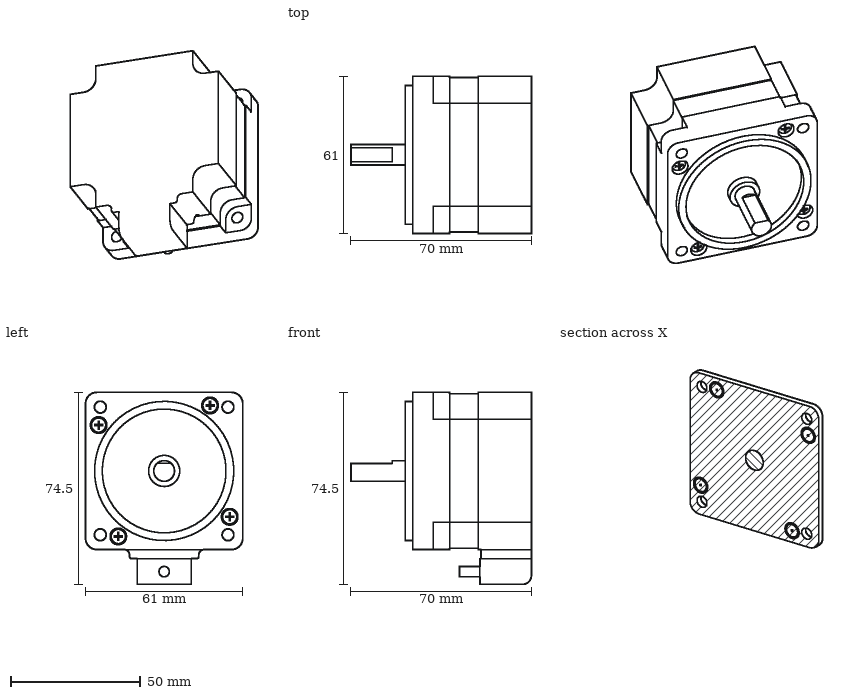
import cadquery as cq
import math


motor_width = 61.0
flange_plate_depth = 8.0
flange_end = 14.3
stator_end = 25.3
rear_end = 46.05
stator_inset = 0.5

groove_inner = 20.0
groove_fillet = 5.0

flange_corner_radius = 4.5
pilot_radius = 27.0
pilot_inner_radius = 24.0
pilot_height = 3.0
boss_radius = 6.0
mount_hole_offset = 24.7
mount_hole_diameter = 4.5

screw_count = 4
screw_circle_radius = 31.0
screw_first_angle = 35
screw_recess_radius = 3.2
screw_recess_depth = 3.0
head_radius = 2.75
head_rim_height = 1.0
head_shoulder_radius = 2.2
head_shoulder_height = 1.65
head_height = 2.3
slot_half_length = 2.0
slot_width = 0.45
slot_depth = 2.0

shaft_radius = 4.0
shaft_length = 24.0
shaft_flat_length = 16.0
shaft_flat_height = 3.0

outlet_drop = 13.5
neck_width = 27.0
neck_height = 3.5
neck_length = 19.6
neck_root_radius = 2.0
neck_edge_radius = 1.0
block_width = 21.0
block_length = 20.0
block_corner_radius = 3.5
cable_radius = 2.0
cable_length = 8.0

half_width = motor_width / 2


def yz_plane(x):
    """Sketch plane facing +X at the given X, with local axes along Y and Z."""
    return cq.Workplane("YZ", origin=(x, 0, 0))


def grooved_block(width, start, end):
    """Square block between two X positions with a filleted groove along each corner."""
    block = yz_plane(start).rect(width, width).extrude(end - start)
    groove_size = half_width
    groove_center = groove_inner + groove_size / 2
    for side_y in (-1, 1):
        for side_z in (-1, 1):
            groove = (
                yz_plane(start)
                .center(side_y * groove_center, side_z * groove_center)
                .rect(groove_size, groove_size)
                .extrude(end - start)
                .edges("|X")
                .fillet(groove_fillet)
            )
            block = block.cut(groove)
    return block


def make_screw_head():
    """Cross-slot head with a rounded shoulder and a conical top, standing on X = 0 and pointing toward -X."""
    arc_drop = head_shoulder_height - head_rim_height
    arc_run = head_radius - head_shoulder_radius
    half_diagonal = math.sqrt(0.5)
    shoulder_mid = (
        -head_rim_height - arc_drop * half_diagonal,
        head_shoulder_radius + arc_run * half_diagonal,
    )
    head = (
        cq.Workplane("XY")
        .lineTo(0, head_radius)
        .lineTo(-head_rim_height, head_radius)
        .threePointArc(shoulder_mid, (-head_shoulder_height, head_shoulder_radius))
        .lineTo(-head_height, 0)
        .close()
        .revolve(360, (0, 0, 0), (1, 0, 0))
    )
    slot = (
        cq.Workplane("XY")
        .moveTo(-head_height, -slot_half_length)
        .lineTo(-head_height, slot_half_length)
        .lineTo(slot_depth - head_height, 0)
        .close()
        .extrude(slot_width / 2, both=True)
    )
    return head.cut(slot).cut(slot.rotate((0, 0, 0), (1, 0, 0), 90))


def make_flange():
    """Front flange with pilot ring, center boss, mounting holes and sunk screw heads."""
    flange = (
        yz_plane(0)
        .rect(motor_width, motor_width)
        .extrude(flange_plate_depth)
        .edges("|X")
        .fillet(flange_corner_radius)
        .union(grooved_block(motor_width, flange_plate_depth, flange_end))
    )

    pilot_ring = yz_plane(0).circle(pilot_radius).circle(pilot_inner_radius).extrude(-pilot_height)
    boss = yz_plane(0).circle(boss_radius).extrude(-pilot_height)
    flange = flange.union(pilot_ring).union(boss)

    shaft_bore = yz_plane(-pilot_height).circle(shaft_radius).extrude(pilot_height + flange_end)
    mount_holes = (
        yz_plane(0)
        .rect(2 * mount_hole_offset, 2 * mount_hole_offset, forConstruction=True)
        .vertices()
        .circle(mount_hole_diameter / 2)
        .extrude(flange_plate_depth)
    )
    flange = flange.cut(shaft_bore).cut(mount_holes)

    head = make_screw_head()
    for index in range(screw_count):
        angle = math.radians(screw_first_angle + index * 360 / screw_count)
        y = screw_circle_radius * math.cos(angle)
        z = screw_circle_radius * math.sin(angle)
        recess = yz_plane(0).center(y, z).circle(screw_recess_radius).extrude(screw_recess_depth)
        flange = flange.cut(recess).union(head.translate((screw_recess_depth, y, z)))
    return flange


def make_stator():
    """Slightly narrower middle section of the motor."""
    return grooved_block(motor_width - 2 * stator_inset, flange_end, stator_end)


def make_outlet_neck():
    """Neck blending out of the housing underside, with rounded lower edges."""
    half_neck = neck_width / 2
    top = -half_width
    bottom = top - neck_height
    root_run = neck_root_radius * (1 - math.sqrt(0.5))
    half_outline = (
        yz_plane(rear_end)
        .moveTo(0, top)
        .lineTo(half_neck + neck_root_radius, top)
        .threePointArc(
            (half_neck + root_run, top - root_run),
            (half_neck, top - neck_root_radius),
        )
        .lineTo(half_neck, bottom)
        .lineTo(0, bottom)
        .close()
        .extrude(-neck_length)
    )
    neck = half_outline.union(half_outline.mirror("XZ"))
    return neck.edges("|X and <Z").fillet(neck_edge_radius)


def make_rear_housing():
    """Rear housing with the cable outlet block and cable stub underneath."""
    block_height = outlet_drop - neck_height
    block_front = rear_end - block_length
    block_middle = -half_width - neck_height - block_height / 2
    block = (
        yz_plane(block_front)
        .center(0, block_middle)
        .rect(block_width, block_height)
        .extrude(block_length)
        .edges(">X and <Z")
        .fillet(block_corner_radius)
    )
    cable = yz_plane(block_front).center(0, block_middle).circle(cable_radius).extrude(-cable_length)
    housing = grooved_block(motor_width, stator_end, rear_end)
    return housing.union(make_outlet_neck()).union(block).union(cable)


def make_shaft():
    """Output shaft seated in the flange bore, with a flat along its free end."""
    shaft = yz_plane(-shaft_length).circle(shaft_radius).extrude(shaft_length + flange_end)
    flat_cut = cq.Workplane("XY").box(
        shaft_flat_length, 2 * shaft_radius, shaft_radius, centered=(False, True, False)
    )
    return shaft.cut(flat_cut.translate((-shaft_length, 0, shaft_flat_height)))


flange = make_flange()
stator = make_stator()
rear_housing = make_rear_housing()
shaft = make_shaft()

result = cq.Compound.makeCompound([flange.val(), stator.val(), rear_housing.val(), shaft.val()])